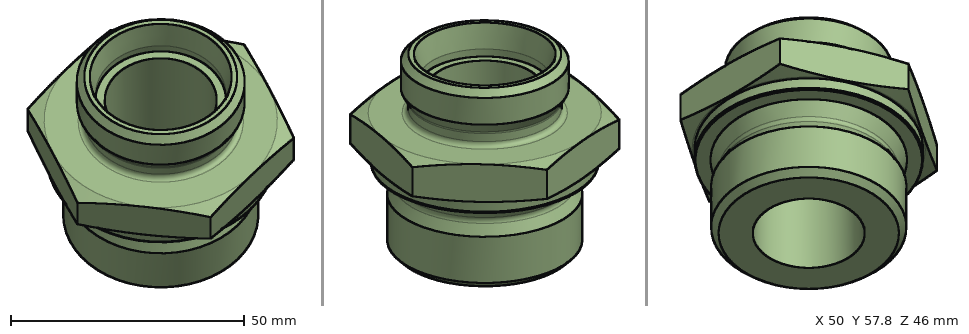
import cadquery as cq
import math

total_height = 46.0
across_corners = 57.75
across_flats = across_corners * math.cos(math.radians(30))
hex_bottom = 23.0
hex_top = 32.0
hex_chamfer_angle = 15.0
corner_turn = 90.0
envelope_margin = 0.6

stud_radius = 41.9 / 2
end_chamfer = 1.6
stud_top = 12.65
groove_lower_angle = 30.0
groove_upper_angle = 25.0
groove_root_radius = 1.5
groove_arc_bottom = 15.1
collar_radius = 49.0 / 2
collar_bottom = 20.0
collar_chamfer_height = 0.4
collar_chamfer_width = 0.2

spigot_radius = 36.0 / 2
spigot_bottom = 38.0
neck_radius = 33.0 / 2
neck_cone_angle = 30.0
neck_upper_fillet = 1.0
neck_base_fillet = 1.2

bore_radius = 24.0 / 2
socket_radius = 28.0 / 2
mouth_radius = 30.4 / 2
socket_depth = 7.5
socket_cone_angle = 12.0


def slope(angle):
    """Radial change per unit of height for a cone half angle in degrees."""
    return math.tan(math.radians(angle))


def arc_point(center, radius, angle):
    """Point (r, z) on an arc, with the angle in degrees above the inward radial direction."""
    a = math.radians(angle)
    return center[0] - radius * math.cos(a), center[1] + radius * math.sin(a)


def revolve_profile(profile):
    """Revolve a closed (r, z) profile about the Z axis."""
    return profile.close().revolve(360, (0, 0, 0), (0, 1, 0))


def lower_stud():
    """Chamfered stud, rounded V groove and collar, up to the hexagon."""
    lower_end_radius = stud_radius - (groove_arc_bottom - stud_top) * slope(groove_lower_angle)
    lower_angle = math.radians(groove_lower_angle)
    center = (
        lower_end_radius + groove_root_radius * math.cos(lower_angle),
        groove_arc_bottom + groove_root_radius * math.sin(lower_angle),
    )
    arc_start = arc_point(center, groove_root_radius, -groove_lower_angle)
    arc_middle = arc_point(center, groove_root_radius, 0)
    arc_end = arc_point(center, groove_root_radius, groove_upper_angle)
    upper_end_radius = arc_end[0] + (collar_bottom - arc_end[1]) * slope(groove_upper_angle)
    profile = (
        cq.Workplane("XZ")
        .lineTo(stud_radius - end_chamfer, 0)
        .lineTo(stud_radius, end_chamfer)
        .lineTo(stud_radius, stud_top)
        .lineTo(*arc_start)
        .threePointArc(arc_middle, arc_end)
        .lineTo(upper_end_radius, collar_bottom)
        .lineTo(collar_radius - collar_chamfer_width, collar_bottom)
        .lineTo(collar_radius, collar_bottom + collar_chamfer_height)
        .lineTo(collar_radius, hex_bottom)
        .lineTo(0, hex_bottom)
    )
    return revolve_profile(profile)


def hexagon():
    """Hexagon with corners on Y, its corners chamfered above and below."""
    height = hex_top - hex_bottom
    prism = (
        cq.Workplane("XY", origin=(0, 0, hex_bottom))
        .polygon(6, across_corners)
        .extrude(height)
        .rotate((0, 0, 0), (0, 0, 1), corner_turn)
    )
    flat_radius = across_flats / 2
    outer_radius = across_corners / 2 + envelope_margin
    drop = (outer_radius - flat_radius) * slope(hex_chamfer_angle)
    envelope = revolve_profile(
        cq.Workplane("XZ")
        .moveTo(0, hex_bottom)
        .lineTo(flat_radius, hex_bottom)
        .lineTo(outer_radius, hex_bottom + drop)
        .lineTo(outer_radius, hex_top - drop)
        .lineTo(flat_radius, hex_top)
        .lineTo(0, hex_top)
    )
    return prism.intersect(envelope)


def upper_spigot():
    """Chamfered spigot on a neck that is rounded at both ends."""
    cone_height = (spigot_radius - neck_radius) / slope(neck_cone_angle)
    neck_top = spigot_bottom - cone_height
    tangent = neck_upper_fillet * slope(neck_cone_angle / 2)
    cone_tangent_radius = neck_radius + tangent * math.sin(math.radians(neck_cone_angle))
    cone_tangent_z = neck_top + tangent * math.cos(math.radians(neck_cone_angle))
    upper_center = (neck_radius + neck_upper_fillet, neck_top - tangent)
    base_center = (neck_radius + neck_base_fillet, hex_top + neck_base_fillet)
    profile = (
        cq.Workplane("XZ")
        .moveTo(0, hex_top)
        .lineTo(base_center[0], hex_top)
        .threePointArc(
            arc_point(base_center, neck_base_fillet, -45),
            (neck_radius, base_center[1]),
        )
        .lineTo(neck_radius, upper_center[1])
        .threePointArc(
            arc_point(upper_center, neck_upper_fillet, neck_cone_angle / 2),
            (cone_tangent_radius, cone_tangent_z),
        )
        .lineTo(spigot_radius, spigot_bottom)
        .lineTo(spigot_radius, total_height - end_chamfer)
        .lineTo(spigot_radius - end_chamfer, total_height)
        .lineTo(0, total_height)
    )
    return revolve_profile(profile)


def bore():
    """Through bore, opening at a shoulder into the tapered tube socket."""
    socket_floor = total_height - socket_depth
    cone_bottom = total_height - (mouth_radius - socket_radius) / slope(socket_cone_angle)
    profile = (
        cq.Workplane("XZ")
        .lineTo(bore_radius, 0)
        .lineTo(bore_radius, socket_floor)
        .lineTo(socket_radius, socket_floor)
        .lineTo(socket_radius, cone_bottom)
        .lineTo(mouth_radius, total_height)
        .lineTo(0, total_height)
    )
    return revolve_profile(profile)


result = lower_stud().union(hexagon()).union(upper_spigot()).cut(bore())